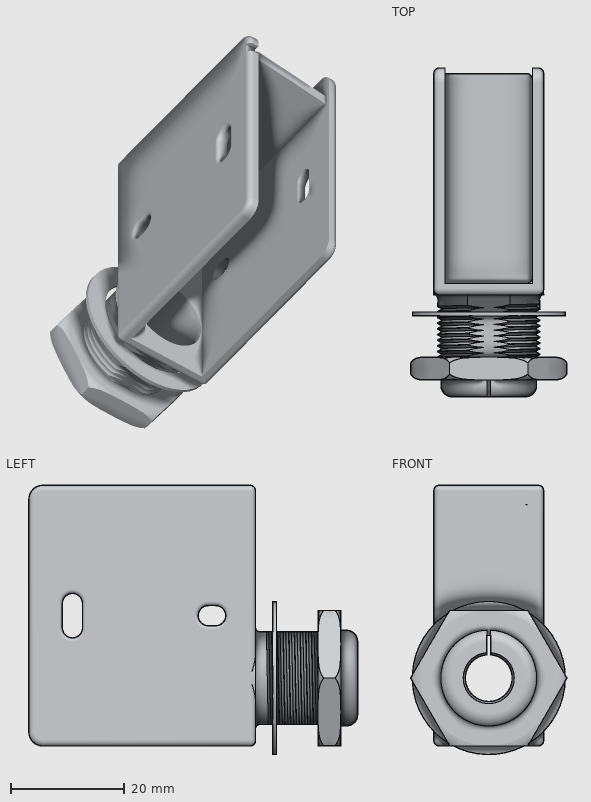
import cadquery as cq
import math


HOUSING_WIDTH = 19.4
HOUSING_DEPTH = 40.0
HOUSING_HEIGHT = 46.0
WALL = 2.0
EDGE_ROUND = 1.0
REAR_CORNER_RADIUS = 2.5

SLOT_WIDTH = 3.5
SLOT_EDGE_ROUND = 0.7
REAR_SLOT_LENGTH = 7.8
FRONT_SLOT_LENGTH = 4.8
SLOT_END_DISTANCE = 7.7

STEM_AXIS_Z = 12.0
STEM_RADIUS = 9.0
STEM_BORE_RADIUS = 7.5
STEM_FLAT_OFFSET = 8.2
STEM_BASE_FILLET = HOUSING_WIDTH / 2 - STEM_RADIUS
THREAD_PITCH = 1.0
THREAD_DEPTH = 0.75
THREAD_CREST = 0.1
THREAD_OVERCUT = 0.2
THREAD_START = 2.0
COLLAR_LENGTH = 1.5

WASHER_RADIUS = 13.5
WASHER_HOLE_RADIUS = 9.75
WASHER_THICKNESS = 0.7
WASHER_START = 3.0

NUT_CORNER_DIAMETER = 27.57
NUT_START = 11.0
NUT_THICKNESS = 4.0
NUT_ROUND = 2.2

NOSE_RADIUS = 8.45
NOSE_LENGTH = 3.0
NOSE_ROUND = 2.0
NOSE_HOLE_RADIUS = 4.1
NOSE_MOUTH_RADIUS = 4.5
NOSE_MOUTH_DEPTH = 1.2
NOSE_SLIT_WIDTH = 0.7

FLAP_THICKNESS = 2.0
FLAP_RECESS = 3.25
FLAP_SLOPE = 8.5
FLAP_REAR_SETBACK = 1.0
FLAP_CORNER_RADIUS = 1.0

FLAP_DEPTH = HOUSING_DEPTH - WALL - FLAP_REAR_SETBACK
INNER_WIDTH = HOUSING_WIDTH - 2 * WALL
NUT_END = NUT_START + NUT_THICKNESS
NUT_FLAT_RADIUS = NUT_CORNER_DIAMETER / 2 * math.cos(math.radians(30))


def make_shell():
    """Channel of two side walls and a front wall, open above, below and behind."""
    block = cq.Workplane("XY").box(
        HOUSING_WIDTH, HOUSING_DEPTH, HOUSING_HEIGHT, centered=(True, False, False)
    )
    block = block.edges(">Y and |X").fillet(REAR_CORNER_RADIUS)
    block = block.faces("<X or >X or <Y").edges().fillet(EDGE_ROUND)
    cavity = (
        cq.Workplane("XY")
        .box(INNER_WIDTH, HOUSING_DEPTH, HOUSING_HEIGHT, centered=(True, False, False))
        .translate((0, WALL, 0))
    )
    return block.cut(cavity)


def cut_slot(shell, length, angle, centre_y):
    """Cut one slot along X through both side walls and round its edges on the outer faces."""
    start = (-HOUSING_WIDTH / 2, centre_y, HOUSING_HEIGHT / 2)
    cutter = cq.Workplane("YZ", origin=start).slot2D(length, SLOT_WIDTH, angle).extrude(HOUSING_WIDTH)
    around_slot = cq.selectors.BoxSelector(
        (-HOUSING_WIDTH, centre_y - length, HOUSING_HEIGHT / 2 - length),
        (HOUSING_WIDTH, centre_y + length, HOUSING_HEIGHT / 2 + length),
        boundingbox=True,
    )
    return shell.cut(cutter).faces("<X or >X").edges(around_slot).fillet(SLOT_EDGE_ROUND)


def cut_rear_notch(shell):
    """Notch the rear end of the +X wall beside the flap's high edge."""
    notch = cq.Workplane("XY").box(WALL, FLAP_REAR_SETBACK, FLAP_THICKNESS, centered=False)
    notch_bottom = HOUSING_HEIGHT - FLAP_RECESS - FLAP_THICKNESS
    return shell.cut(notch.translate((INNER_WIDTH / 2, HOUSING_DEPTH - FLAP_REAR_SETBACK, notch_bottom)))


def make_cover_flap():
    """Sloping plate from the -X wall up to the +X wall, with its corners rounded at the high side."""
    flap = cq.Workplane("XY", origin=(0, WALL, 0)).rect(INNER_WIDTH, FLAP_DEPTH, centered=(True, False))
    flap = flap.extrude(HOUSING_HEIGHT).edges("|Z and >X").fillet(FLAP_CORNER_RADIUS)
    half_width = INNER_WIDTH / 2
    top = HOUSING_HEIGHT - FLAP_RECESS
    drop = INNER_WIDTH * math.tan(math.radians(FLAP_SLOPE))
    section = (
        cq.Workplane("XZ")
        .moveTo(half_width, top)
        .lineTo(-half_width, top - drop)
        .lineTo(-half_width, top - drop - FLAP_THICKNESS)
        .lineTo(half_width, top - FLAP_THICKNESS)
        .close()
        .extrude(-HOUSING_DEPTH)
    )
    return flap.intersect(section)


def along_stem(distance):
    """Workplane facing -Y on the stem axis, at a distance in front of the housing."""
    return cq.Workplane("XZ", origin=(0, -distance, STEM_AXIS_Z))


def with_flats(bar, margin=0.0):
    """Trim a bar around the stem axis to the two flats, each moved outward by the margin."""
    band = cq.Workplane("XY", origin=(0, 0, STEM_AXIS_Z)).box(
        4 * STEM_RADIUS, 4 * NUT_END, 2 * (STEM_FLAT_OFFSET + margin)
    )
    return bar.intersect(band)


def thread_groove():
    """Helical V groove reaching into the nut, to be cut from the stem."""
    length = NUT_START + THREAD_PITCH - THREAD_START
    helix = cq.Wire.makeHelix(THREAD_PITCH, length, STEM_RADIUS)
    half_mouth = (THREAD_PITCH - THREAD_CREST) / 2
    outer_half = half_mouth * (THREAD_DEPTH + THREAD_OVERCUT) / THREAD_DEPTH
    groove = (
        cq.Workplane("XZ")
        .moveTo(STEM_RADIUS - THREAD_DEPTH, 0)
        .lineTo(STEM_RADIUS + THREAD_OVERCUT, outer_half)
        .lineTo(STEM_RADIUS + THREAD_OVERCUT, -outer_half)
        .close()
        .sweep(cq.Workplane(obj=helix), isFrenet=True)
    )
    return groove.rotate((0, 0, 0), (1, 0, 0), 90).translate((0, -THREAD_START, STEM_AXIS_Z))


def make_stem():
    """Stem whose filleted base fills the rounded front edges of the housing, with a threaded rod."""
    wall_plate = along_stem(-EDGE_ROUND).rect(4 * STEM_RADIUS, 4 * STEM_RADIUS).extrude(EDGE_ROUND)
    base = wall_plate.union(with_flats(along_stem(0).circle(STEM_RADIUS).extrude(COLLAR_LENGTH)))
    reach = STEM_RADIUS + STEM_BASE_FILLET
    foot = cq.selectors.BoxSelector(
        (-reach, -COLLAR_LENGTH / 2, STEM_AXIS_Z - reach),
        (reach, COLLAR_LENGTH / 2, STEM_AXIS_Z + reach),
        boundingbox=True,
    )
    base = base.edges(foot).fillet(STEM_BASE_FILLET)
    flare = along_stem(-EDGE_ROUND).circle(reach).extrude(EDGE_ROUND + COLLAR_LENGTH)
    base = base.intersect(with_flats(flare, STEM_BASE_FILLET))
    rod = along_stem(COLLAR_LENGTH).circle(STEM_RADIUS).extrude(NUT_END - COLLAR_LENGTH)
    return base.union(with_flats(rod.cut(thread_groove())))


def make_washer():
    """Loose flat ring with a clearance hole around the threaded stem."""
    ring = along_stem(WASHER_START).circle(WASHER_RADIUS).circle(WASHER_HOLE_RADIUS)
    return ring.extrude(WASHER_THICKNESS)


def make_nut():
    """Hex nut with corners pointing along X and the corners rounded over on both faces."""
    hexagon = along_stem(NUT_START).polygon(6, NUT_CORNER_DIAMETER).extrude(NUT_THICKNESS)
    envelope = along_stem(NUT_START).circle(NUT_FLAT_RADIUS + NUT_ROUND).extrude(NUT_THICKNESS)
    front_rounded = envelope.faces("<Y").edges().fillet(NUT_ROUND)
    back_rounded = envelope.faces(">Y").edges().fillet(NUT_ROUND)
    return hexagon.intersect(front_rounded).intersect(back_rounded)


def make_nose():
    """Rounded cap with a tapered cable hole, split by a slit above the hole."""
    nose_end = NUT_END + NOSE_LENGTH
    nose = along_stem(NUT_END).circle(NOSE_RADIUS).extrude(NOSE_LENGTH)
    nose = nose.faces("<Y").edges().fillet(NOSE_ROUND)
    hole = along_stem(NUT_END).circle(NOSE_HOLE_RADIUS).extrude(NOSE_LENGTH)
    mouth = (
        along_stem(nose_end - NOSE_MOUTH_DEPTH)
        .circle(NOSE_HOLE_RADIUS)
        .workplane(offset=NOSE_MOUTH_DEPTH)
        .circle(NOSE_MOUTH_RADIUS)
        .loft()
    )
    slit = along_stem(NUT_END).rect(NOSE_SLIT_WIDTH, NOSE_RADIUS, centered=(True, False)).extrude(NOSE_LENGTH)
    return nose.cut(hole).cut(mouth).cut(slit)


def make_housing():
    """Shell, flap, stem, nut and nose joined into one body."""
    shell = make_shell()
    shell = cut_slot(shell, REAR_SLOT_LENGTH, 90, HOUSING_DEPTH - SLOT_END_DISTANCE)
    shell = cut_slot(shell, FRONT_SLOT_LENGTH, 0, SLOT_END_DISTANCE)
    shell = cut_rear_notch(shell)
    housing = shell.union(make_stem()).union(make_nut()).union(make_cover_flap())
    bore = along_stem(-WALL).circle(STEM_BORE_RADIUS).extrude(WALL + NUT_END)
    return housing.cut(bore).union(make_nose())


housing = make_housing()
washer = make_washer()
result = cq.Compound.makeCompound([housing.val(), washer.val()])